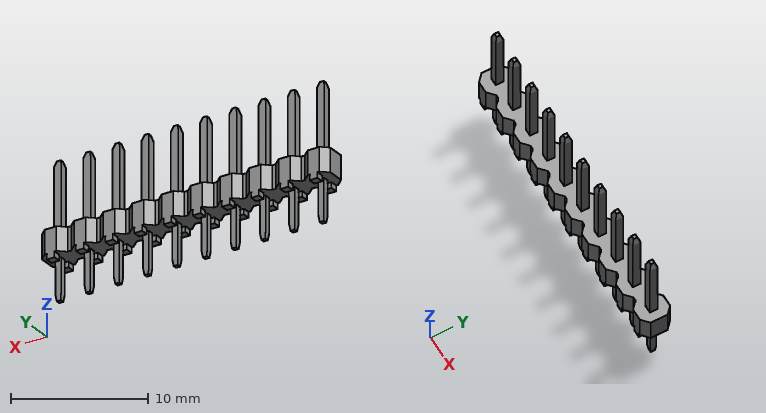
import cadquery as cq

pin_count = 10
body_length = 25.1
body_depth = 2.54
body_height = 2.03

cell_width = 2.23
cell_flat = 1.0
waist_depth = 1.43
pitch = (body_length - cell_width) / (pin_count - 1)
pin_positions = [(i - (pin_count - 1) / 2) * pitch for i in range(pin_count)]

foot_width = 0.68
foot_depth = 0.65
foot_height = 0.48

post_width = 0.65
post_length = 6.02
post_tip_width = 0.33
tail_width = 0.5
tail_length = 3.5
tail_tip_width = 0.35
tip_length = 0.53


def box(x, y, width, depth, bottom, height):
    """Upright block centred on (x, y)."""
    return (
        cq.Workplane("XY", origin=(x, y, bottom))
        .rect(width, depth)
        .extrude(height)
    )


def body():
    """Housing with an octagonal cell around each pin."""
    front_edge = []
    for x in pin_positions:
        front_edge += [
            (x - cell_width / 2, -waist_depth / 2),
            (x - cell_flat / 2, -body_depth / 2),
            (x + cell_flat / 2, -body_depth / 2),
            (x + cell_width / 2, -waist_depth / 2),
        ]
    back_edge = [(x, -y) for x, y in reversed(front_edge)]
    return cq.Workplane("XY").polyline(front_edge + back_edge).close().extrude(body_height)


def foot(x, side):
    """Standoff flush with the front (side = -1) or back (side = 1) edge."""
    y = side * (body_depth - foot_depth) / 2
    return box(x, y, foot_width, foot_depth, -foot_height, foot_height)


def tip(x, base, width, end_width, length):
    """Tapered square end; a negative length points it downward."""
    return (
        cq.Workplane("XY", origin=(x, 0, base))
        .rect(width, width)
        .workplane(offset=length)
        .rect(end_width, end_width)
        .loft(ruled=True)
    )


def pin(x):
    """Post and tail meeting inside the body, with both tapered ends."""
    post_shoulder = body_height + post_length - tip_length
    tail_shoulder = tip_length - tail_length
    middle = body_height / 2
    post = box(x, 0, post_width, post_width, middle, post_shoulder - middle)
    tail = box(x, 0, tail_width, tail_width, tail_shoulder, middle - tail_shoulder)
    post_tip = tip(x, post_shoulder, post_width, post_tip_width, tip_length)
    tail_tip = tip(x, tail_shoulder, tail_width, tail_tip_width, -tip_length)
    return post.union(tail).union(post_tip).union(tail_tip)


result = body()
for pin_x in pin_positions:
    result = result.union(foot(pin_x, -1)).union(foot(pin_x, 1))
    result = result.union(pin(pin_x))